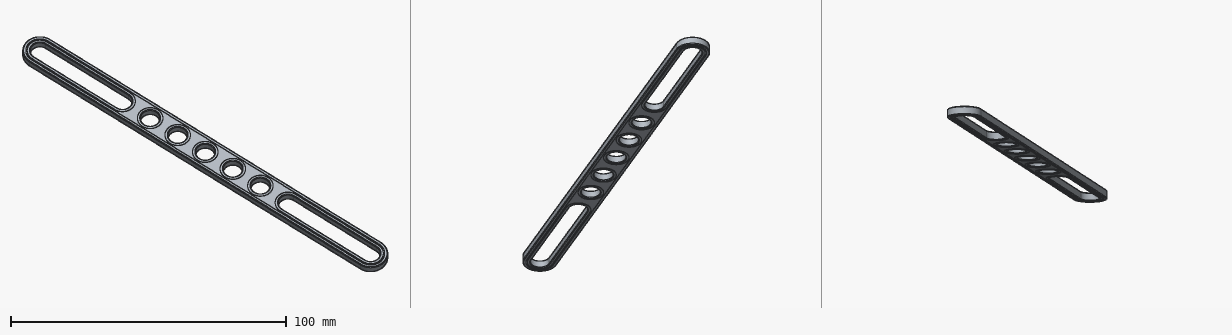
import cadquery as cq

length = 162.5
pitch_count = 13
thickness = 3.1
hole_diameter = 7.0
rim_diameter = 9.3
edge_chamfer = 0.3
pocket_depth = 0.2

hole_steps = (-2, -1, 0, 1, 2)
slot_middle_step = 4.5
slot_travel_steps = 3

pitch = length / pitch_count
width = pitch
rim_width = (rim_diameter - hole_diameter) / 2
slot_length = slot_travel_steps * pitch + hole_diameter
hole_points = [(step * pitch, 0) for step in hole_steps]
slot_points = [(side * slot_middle_step * pitch, 0) for side in (-1, 1)]


def bar(inset):
    """Round-ended bar, centred on the origin, with its outline moved inwards by inset."""
    outline = cq.Workplane("XY").slot2D(length - 2 * inset, width - 2 * inset)
    return outline.extrude(thickness / 2, both=True)


def openings(margin):
    """Full-height cores of all holes and end slots, enlarged all round by margin."""
    diameter = hole_diameter + 2 * margin
    holes = cq.Workplane("XY").pushPoints(hole_points).circle(diameter / 2)
    slots = cq.Workplane("XY").pushPoints(slot_points).slot2D(slot_length + 2 * margin, diameter)
    hole_cores = holes.extrude(thickness / 2, both=True)
    slot_cores = slots.extrude(thickness / 2, both=True)
    return hole_cores.union(slot_cores)


def pockets():
    """Shallow recesses on both faces, between the outer rim and the rims of the openings."""
    web_thickness = thickness - 2 * pocket_depth
    web = cq.Workplane("XY").box(length, width, web_thickness)
    return bar(rim_width).cut(openings(rim_width)).cut(web)


perforated = bar(0).cut(openings(0))
chamfered = perforated.faces("<Z or >Z").chamfer(edge_chamfer)

result = chamfered.cut(pockets())